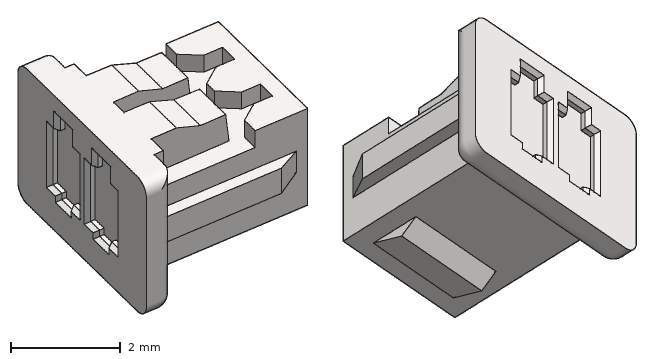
import cadquery as cq


flange_width = 4.25
flange_height = 3.2
flange_thickness = 0.6
flange_radius = 0.3

part_length = 3.95
body_width = 2.95
body_inset = 0.45
body_bottom = body_inset
rear_block_top = flange_height - body_inset
shelf_z = flange_height - 0.85
recess_front = 0.8
rear_block_front = 2.8

contact_pitch = 1.25
contact_centers = (-contact_pitch / 2, contact_pitch / 2)

finger_rear_width = 0.863
finger_front_width = 0.9
finger_low_z = flange_height - 0.19
finger_slope_front = 1.35
finger_slope_rear = 1.88
finger_tip = 2.435
finger_root = 2.508

slot_width = 0.4
slot_rear = part_length - 0.34
slot_neck_front = part_length - 0.75
funnel_width = 1.0

rib_projection = 0.3
rib_center_z = flange_height - 1.602
rib_outer_height = 0.6
rib_root_height = 0.5
rib_outer_rear = 3.175
rib_root_rear = 3.7

latch_width = contact_pitch + finger_rear_width
latch_depth = 0.255
latch_front = 2.515
latch_apex = 2.875
latch_rear = 3.585

pocket_width = 1.115
pocket_top = flange_height - 0.79
pocket_bottom = flange_height - 2.365
upper_key_width = 0.63
upper_key_top = flange_height - 0.382
lower_key_width = 0.523
lower_key_bottom = flange_height - 2.51
pocket_depth = 0.2
pocket_chamfer_depth = 0.1
pocket_inset = 0.065


def box(width, y_front, y_rear, z_low, z_high):
    """Box centred on X = 0."""
    size = (width, y_rear - y_front, z_high - z_low)
    return cq.Workplane("XY").box(*size, centered=(True, False, False)).translate((0, y_front, z_low))


def side_profile(points, width):
    """Extrude a (Y, Z) outline symmetrically about X = 0."""
    return cq.Workplane("YZ").polyline(points).close().extrude(width / 2, both=True)


def make_flange():
    """Plate with rounded corners and a rounded rear rim that leaves the top edge sharp."""
    plate = box(flange_width, 0, flange_thickness, 0, flange_height)
    plate = plate.edges("|Y").fillet(flange_radius)
    rim_plate = box(flange_width, 0, flange_thickness, 0, flange_height + 2 * flange_radius)
    rim_plate = rim_plate.edges("|Y").fillet(flange_radius)
    rim_plate = rim_plate.faces(">Y").edges().fillet(flange_radius)
    return plate.intersect(rim_plate)


def make_body():
    """Full-height front step, low shelf and raised rear block in one stepped profile."""
    return side_profile(
        [
            (0, body_bottom),
            (part_length, body_bottom),
            (part_length, rear_block_top),
            (rear_block_front, rear_block_top),
            (rear_block_front, shelf_z),
            (recess_front, shelf_z),
            (recess_front, flange_height),
            (0, flange_height),
        ],
        body_width,
    )


def make_finger():
    """Stepped finger that narrows slightly toward its rear end."""
    profile = side_profile(
        [
            (recess_front, shelf_z),
            (finger_root, shelf_z),
            (finger_tip, finger_low_z),
            (finger_slope_rear, finger_low_z),
            (finger_slope_front, flange_height),
            (recess_front, flange_height),
        ],
        finger_front_width,
    )
    plan = (
        cq.Workplane("XY")
        .polyline(
            [
                (-finger_front_width / 2, recess_front),
                (finger_front_width / 2, recess_front),
                (finger_rear_width / 2, finger_root),
                (-finger_rear_width / 2, finger_root),
            ]
        )
        .close()
        .extrude(flange_height)
    )
    return profile.intersect(plan)


def make_slot():
    """Narrow slot opening into a funnel at the front of the rear block."""
    return (
        cq.Workplane("XY")
        .workplane(offset=shelf_z)
        .polyline(
            [
                (-funnel_width / 2, rear_block_front),
                (funnel_width / 2, rear_block_front),
                (slot_width / 2, slot_neck_front),
                (slot_width / 2, slot_rear),
                (-slot_width / 2, slot_rear),
                (-slot_width / 2, slot_neck_front),
            ]
        )
        .close()
        .extrude(rear_block_top - shelf_z)
    )


def make_ribs():
    """Dovetail rail through the body, forming a rib with a slanted rear end on each side."""
    root_x = body_width / 2
    outer_x = root_x + rib_projection
    plan = (
        cq.Workplane("XY")
        .polyline(
            [
                (-outer_x, 0),
                (outer_x, 0),
                (outer_x, rib_outer_rear),
                (root_x, rib_root_rear),
                (-root_x, rib_root_rear),
                (-outer_x, rib_outer_rear),
            ]
        )
        .close()
        .extrude(flange_height)
    )
    section = (
        cq.Workplane("XZ")
        .polyline(
            [
                (-outer_x, rib_center_z - rib_outer_height / 2),
                (-root_x, rib_center_z - rib_root_height / 2),
                (root_x, rib_center_z - rib_root_height / 2),
                (outer_x, rib_center_z - rib_outer_height / 2),
                (outer_x, rib_center_z + rib_outer_height / 2),
                (root_x, rib_center_z + rib_root_height / 2),
                (-root_x, rib_center_z + rib_root_height / 2),
                (-outer_x, rib_center_z + rib_outer_height / 2),
            ]
        )
        .close()
        .extrude(-part_length)
    )
    return plan.intersect(section)


def make_latch():
    """Triangular latch under the body."""
    return side_profile(
        [
            (latch_front, body_bottom),
            (latch_apex, body_bottom - latch_depth),
            (latch_rear, body_bottom),
        ],
        latch_width,
    )


def pocket_outline(inset):
    """Keyed pocket outline as (X, Z) points, moved inward by the inset."""
    right_side = [
        (lower_key_width / 2 - inset, lower_key_bottom + inset),
        (lower_key_width / 2 - inset, pocket_bottom + inset),
        (pocket_width / 2 - inset, pocket_bottom + inset),
        (pocket_width / 2 - inset, pocket_top - inset),
        (upper_key_width / 2 - inset, pocket_top - inset),
        (upper_key_width / 2 - inset, upper_key_top - inset),
    ]
    left_side = [(-x, z) for x, z in reversed(right_side)]
    return right_side + left_side


def make_pocket():
    """Shallow keyed pocket with a chamfered mouth."""
    throat = pocket_outline(pocket_inset)
    mouth = (
        cq.Workplane("XZ")
        .polyline(pocket_outline(0))
        .close()
        .workplane(offset=-pocket_chamfer_depth)
        .polyline(throat)
        .close()
        .loft(ruled=True)
    )
    well = cq.Workplane("XZ").polyline(throat).close().extrude(-pocket_depth)
    return mouth.union(well)


result = make_flange().union(make_body()).union(make_ribs()).union(make_latch())
for center_x in contact_centers:
    result = result.union(make_finger().translate((center_x, 0, 0)))
    result = result.cut(make_slot().translate((center_x, 0, 0)))
    result = result.cut(make_pocket().translate((center_x, 0, 0)))